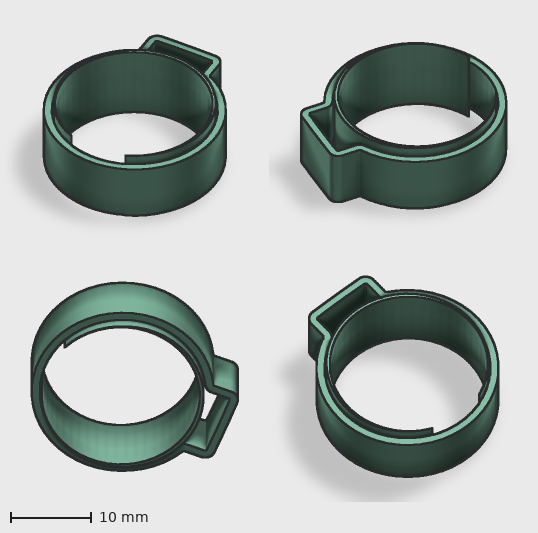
import cadquery as cq


band_radius = 11.25
band_thickness = 1.0
band_height = 7.5

ear_width = 10.0
ear_top = 13.75
ear_crown_rise = 0.062
ear_corner_radius = 1.25
ear_root_radius = 0.25

liner_radius = 10.0
liner_bore_radius = 9.75
liner_bore_offset = -0.25
liner_height = 9.8
liner_gap = 7.6


def ear_clamp_outline(inset, corner_radius, root_radius):
    """Filled ring-and-ear shape, with every wall moved inward by inset."""
    half_width = ear_width / 2 - inset
    crown = ear_top - inset
    shoulder = crown - ear_crown_rise

    ring = cq.Workplane("XY").circle(band_radius - inset).extrude(band_height / 2, both=True)
    ear = (
        cq.Workplane("XY")
        .moveTo(-half_width, 0)
        .lineTo(-half_width, shoulder)
        .threePointArc((0, crown), (half_width, shoulder))
        .lineTo(half_width, 0)
        .close()
        .extrude(band_height / 2, both=True)
        .edges("|Z")
        .edges(">Y")
        .fillet(corner_radius)
    )

    root_y = ((band_radius - inset) ** 2 - half_width ** 2) ** 0.5
    shape = ring.union(ear)
    for root_x in (-half_width, half_width):
        shape = shape.edges(cq.NearestToPointSelector((root_x, root_y, 0))).fillet(root_radius)
    return shape


def make_band():
    """Closed band of constant thickness that follows the ring and the ear."""
    outside = ear_clamp_outline(0, ear_corner_radius, ear_root_radius)
    inside = ear_clamp_outline(
        band_thickness,
        ear_corner_radius - band_thickness,
        ear_root_radius + band_thickness,
    )
    return outside.cut(inside)


def make_liner():
    """Open strip that tapers from under the ear to its two free ends."""
    blank = cq.Workplane("XY").circle(liner_radius).extrude(liner_height / 2, both=True)
    bore = (
        cq.Workplane("XY")
        .center(0, liner_bore_offset)
        .circle(liner_bore_radius)
        .extrude(liner_height / 2, both=True)
    )
    gap = (
        cq.Workplane("XY")
        .center(0, -liner_radius)
        .rect(liner_gap, liner_radius)
        .extrude(liner_height / 2, both=True)
    )
    return blank.cut(bore).cut(gap)


band = make_band()
liner = make_liner()
result = cq.Compound.makeCompound([band.val(), liner.val()])